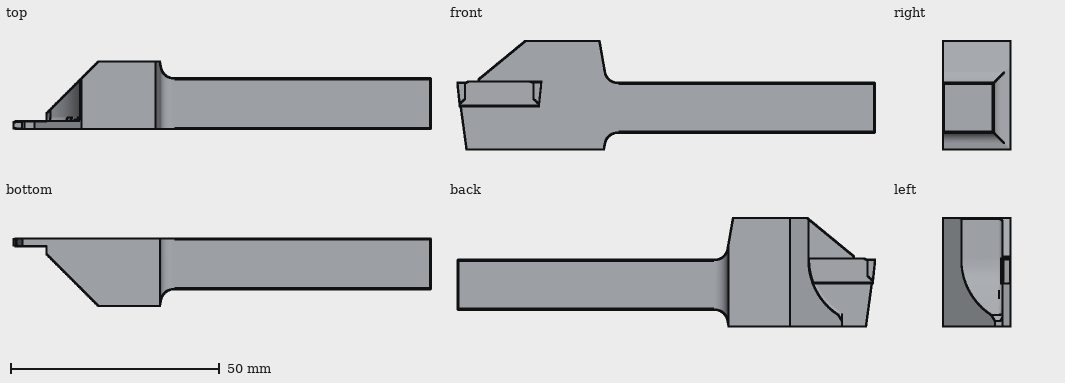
import cadquery as cq
import math

length = 100.0
depth = 16.2
height = 26.0
flank_slope = math.tan(math.radians(10))
cut_margin = 5.0
pick_margin = 0.1

shank_size = 12.0
shank_depth = 12.2
shank_top = 16.0
shank_bottom = shank_top - shank_size
shank_start = 38.0
shank_chamfer = 0.3

head_right = 35.8
neck_radius = 3.0
head_end = shank_start + 0.8
blade_thickness = 1.9
blade_bottom_x = 2.2
slope_bottom_x = 5.1
slope_bottom_z = 16.8
slope_top_x = 16.3
bevel_start_x = 7.9
bevel_start_y = 3.7

wall_x = 16.0
arc_top_z = 16.0
clearance_radius = 15.8
arc_bottom_z = 2.8
wall_foot_z = 1.3
root_radius = 0.9

insert_length = 20.1
insert_bottom = 10.3
insert_top = 16.3
edge_z = 16.0
land_bottom_z = 14.9
land_inset = 0.1
end_inset = 0.6
chip_floor_length = 2.1
chip_ramp_end = 2.7
bottom_chamfer = 0.3
relief_depth = 0.2
relief_length = 1.9
relief_bottom_z = 12.2
relief_tip_z = 11.0
pocket_depth = 2.3
seat_front_x = 0.8


def extrude_y(outline, y_start, y_end):
    """Extrude an XZ outline from y_start to y_end."""
    return outline.extrude(y_start - y_end).translate((0, y_start, 0))


def head_side_shape():
    top_flank = (height - shank_top) * flank_slope
    bottom_flank = shank_bottom * flank_slope
    outline = cq.Workplane("XZ").polyline([
        (blade_bottom_x, 0),
        (seat_front_x, insert_bottom),
        (seat_front_x, insert_top),
        (slope_bottom_x, insert_top),
        (slope_bottom_x, slope_bottom_z),
        (slope_top_x, height),
        (head_right - top_flank, height),
        (head_right, shank_top),
        (head_end, shank_top),
        (head_end, shank_bottom),
        (head_right, shank_bottom),
        (head_right - bottom_flank, 0),
    ]).close()
    shape = extrude_y(outline, 0, depth)
    for z in (shank_top, shank_bottom):
        corner = cq.selectors.BoxSelector(
            (head_right - pick_margin, -1, z - pick_margin),
            (head_right + pick_margin, depth + 1, z + pick_margin))
        shape = shape.edges(corner).fillet(neck_radius)
    return shape


def head_plan_shape():
    bevel_end_x = bevel_start_x + depth - bevel_start_y
    flank = (depth - shank_depth) * flank_slope
    shape = cq.Workplane("XY").polyline([
        (0, 0),
        (0, blade_thickness),
        (bevel_start_x, blade_thickness),
        (bevel_start_x, bevel_start_y),
        (bevel_end_x, depth),
        (head_right - flank, depth),
        (head_right, shank_depth),
        (head_end, shank_depth),
        (head_end, 0),
    ]).close().extrude(height)
    corner = cq.selectors.BoxSelector(
        (head_right - pick_margin, shank_depth - pick_margin, -1),
        (head_right + pick_margin, shank_depth + pick_margin, height + 1))
    return shape.edges(corner).fillet(neck_radius)


def blade_clearance():
    """Curved space behind the blade, rounded where it meets the blade."""
    arc_center_x = wall_x - clearance_radius

    def arc_x(z):
        return arc_center_x + math.sqrt(clearance_radius**2 - (arc_top_z - z)**2)

    arc_middle_z = (arc_top_z + arc_bottom_z) / 2
    outline = (
        cq.Workplane("XZ")
        .moveTo(-cut_margin, height + cut_margin)
        .lineTo(wall_x, height + cut_margin)
        .lineTo(wall_x, arc_top_z)
        .threePointArc((arc_x(arc_middle_z), arc_middle_z), (arc_x(arc_bottom_z), arc_bottom_z))
        .lineTo(bevel_start_x, wall_foot_z)
        .lineTo(bevel_start_x, -cut_margin)
        .lineTo(-cut_margin, -cut_margin)
        .close()
    )
    return extrude_y(outline, blade_thickness, depth + cut_margin).faces("<Y").edges().fillet(root_radius)


def make_shank():
    shank = cq.Workplane("XY").box(
        length - shank_start, shank_depth, shank_size, centered=False
    ).translate((shank_start, 0, shank_bottom))
    return shank.edges("|X").chamfer(shank_chamfer).faces(">X").edges().chamfer(shank_chamfer)


def insert_pocket():
    """Blade seat with a flat ceiling and a slanted end wall, open at the tip."""
    outline = cq.Workplane("XZ").polyline([
        (-cut_margin, insert_bottom),
        (insert_length - end_inset, insert_bottom),
        (insert_length - land_inset, land_bottom_z),
        (insert_length, edge_z),
        (insert_length, insert_top),
        (-cut_margin, insert_top),
    ]).close()
    return extrude_y(outline, 0, pocket_depth)


def make_holder():
    head = head_side_shape().intersect(head_plan_shape()).cut(blade_clearance())
    return head.union(make_shank()).cut(insert_pocket())


def mirror_along_insert(points):
    return [(insert_length - x, z) for x, z in reversed(points)]


def make_insert():
    front_end = [
        (end_inset, insert_bottom),
        (land_inset, land_bottom_z),
        (0, edge_z),
        (chip_floor_length, edge_z),
        (chip_ramp_end, insert_top),
    ]
    outline = cq.Workplane("XZ").polyline(front_end + mirror_along_insert(front_end)).close()
    insert = extrude_y(outline, 0, blade_thickness)
    insert = insert.faces("<Z").edges("|X").chamfer(bottom_chamfer)

    front_relief = [
        (-cut_margin, insert_top),
        (relief_length, insert_top),
        (relief_length, relief_bottom_z),
        (relief_length - (relief_bottom_z - relief_tip_z), relief_tip_z),
        (-cut_margin, relief_tip_z),
    ]
    for points in (front_relief, mirror_along_insert(front_relief)):
        for y in (0, blade_thickness - relief_depth):
            relief = cq.Workplane("XZ").polyline(points).close()
            insert = insert.cut(extrude_y(relief, y, y + relief_depth))
    return insert


holder = make_holder().solids()
insert = make_insert().solids()
result = cq.Compound.makeCompound([holder.val(), insert.val()])